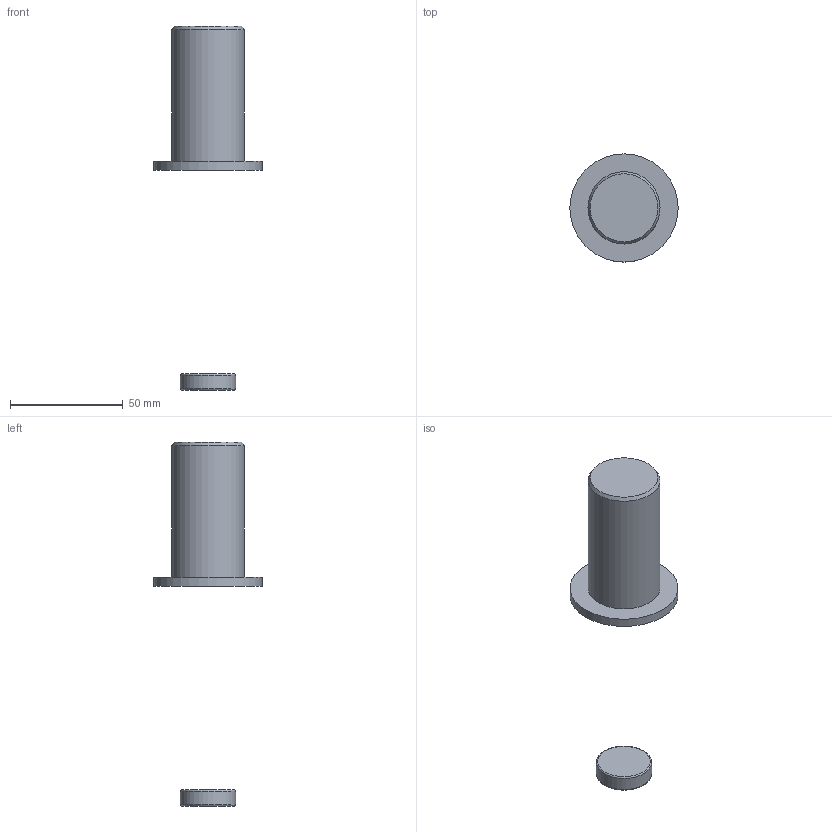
import cadquery as cq
import math

flange_diameter = 48.0
flange_thickness = 4.0
shaft_diameter = 32.0
pin_height = 64.0
pin_chamfer_height = 1.6
pin_chamfer_angle = 30.0
pin_chamfer_width = pin_chamfer_height * math.tan(math.radians(pin_chamfer_angle))

overall_height = 161.5
disc_diameter = 24.5
disc_thickness = 7.2
disc_rim_radius = 0.6
disc_bottom = pin_height - overall_height


def make_pin():
    """Round shaft on a thin flange, with a steep lead-in chamfer at the shaft's top."""
    flange = cq.Workplane("XY").circle(flange_diameter / 2).extrude(flange_thickness)
    shaft = (
        cq.Workplane("XY")
        .circle(shaft_diameter / 2)
        .extrude(pin_height)
        .faces(">Z")
        .chamfer(pin_chamfer_height, pin_chamfer_width)
    )
    return flange.union(shaft)


def make_disc():
    """Short cylinder with both rims rounded."""
    return (
        cq.Workplane("XY", origin=(0, 0, disc_bottom))
        .circle(disc_diameter / 2)
        .extrude(disc_thickness)
        .faces("<Z or >Z")
        .fillet(disc_rim_radius)
    )


pin = make_pin()
disc = make_disc()

result = cq.Compound.makeCompound([pin.val(), disc.val()])